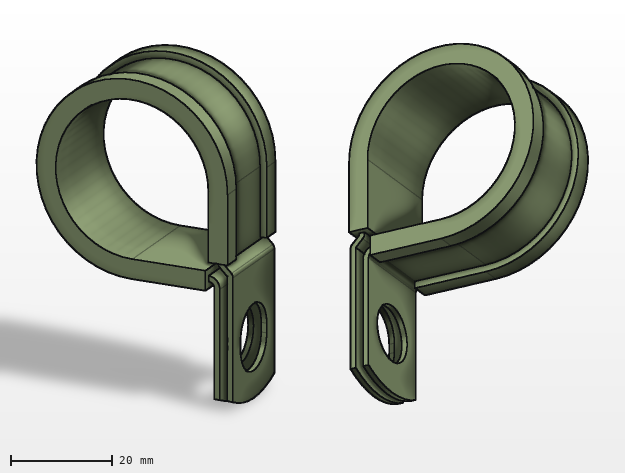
import cadquery as cq
import math

loop_radius = 20.9
cushion_thickness = 4.2
cushion_width = 22.1
flange_width = 4.0
groove_depth = 1.5
upright_length = 14.85
floor_length = 16.1

strap_thickness = 1.2
strap_width = 19.15
outer_tab_x = 20.15
bend_inner_radius = 1.2
jog_straight = 0.5

tab_bottom = -46.05
tab_end_rise = 2.2
hole_diameter = 12.0
slot_stretch = 2.0
hole_z = -33.3

bore_radius = loop_radius - cushion_thickness
strap_outer = loop_radius - groove_depth
strap_inner = strap_outer - strap_thickness
inner_tab_x = floor_length + bend_inner_radius
diagonal = math.sqrt(0.5)


def extrude_centred(outline, width):
    """Extrude a closed XZ outline symmetrically about Y = 0."""
    return outline.close().extrude(width / 2, both=True)


def loop_band(inner, outer, width):
    """Three-quarter ring with a downward leg and a leg toward +X."""
    outline = (
        cq.Workplane("XZ")
        .moveTo(outer, -upright_length)
        .lineTo(outer, 0)
        .threePointArc((-outer * diagonal, outer * diagonal), (0, -outer))
        .lineTo(floor_length, -outer)
        .lineTo(floor_length, -inner)
        .lineTo(0, -inner)
        .threePointArc((-inner * diagonal, inner * diagonal), (inner, 0))
        .lineTo(inner, -upright_length)
    )
    return extrude_centred(outline, width)


def inner_tab():
    """Strap leaving the loop floor and bending down right at the cushion end."""
    outer_radius = bend_inner_radius + strap_thickness
    centre_x = floor_length
    centre_z = -strap_outer - bend_inner_radius
    right_x = inner_tab_x + strap_thickness
    outline = (
        cq.Workplane("XZ")
        .moveTo(centre_x, -strap_inner)
        .threePointArc(
            (centre_x + outer_radius * diagonal, centre_z + outer_radius * diagonal),
            (right_x, centre_z),
        )
        .lineTo(right_x, tab_bottom)
        .lineTo(inner_tab_x, tab_bottom)
        .lineTo(inner_tab_x, centre_z)
        .threePointArc(
            (centre_x + bend_inner_radius * diagonal, centre_z + bend_inner_radius * diagonal),
            (centre_x, -strap_outer),
        )
    )
    return extrude_centred(outline, strap_width)


def outer_tab():
    """Strap leaving the upright through a 45 degree jog toward +X.

    Each bend is sharp inside and rounded outside about that sharp corner.
    """
    upper_z = -upright_length - jog_straight
    lower_z = upper_z - (outer_tab_x - strap_outer) - strap_thickness / diagonal
    reach = strap_thickness * diagonal
    mid_x = strap_thickness * math.cos(math.pi / 8)
    mid_z = strap_thickness * math.sin(math.pi / 8)
    right_x = outer_tab_x + strap_thickness
    outline = (
        cq.Workplane("XZ")
        .moveTo(strap_outer, -upright_length)
        .lineTo(strap_outer, upper_z)
        .lineTo(outer_tab_x + reach, lower_z + reach)
        .threePointArc((outer_tab_x + mid_x, lower_z + mid_z), (right_x, lower_z))
        .lineTo(right_x, tab_bottom)
        .lineTo(outer_tab_x, tab_bottom)
        .lineTo(outer_tab_x, lower_z)
        .lineTo(strap_outer - reach, upper_z - reach)
        .threePointArc((strap_outer - mid_x, upper_z - mid_z), (strap_inner, upper_z))
        .lineTo(strap_inner, -upright_length)
    )
    return extrude_centred(outline, strap_width)


def tab_envelope():
    """X-direction prism that gives each tab its rounded end."""
    half_width = strap_width / 2
    corner_z = tab_bottom + tab_end_rise
    return (
        cq.Workplane("YZ")
        .moveTo(-half_width, 0)
        .lineTo(-half_width, corner_z)
        .threePointArc((0, tab_bottom), (half_width, corner_z))
        .lineTo(half_width, 0)
        .close()
        .extrude(2 * loop_radius)
    )


def bolt_hole():
    """Round X-direction cutter for the inner tab."""
    return cq.Workplane("YZ").center(0, hole_z).circle(hole_diameter / 2).extrude(2 * loop_radius)


def bolt_slot():
    """X-direction cutter for the outer tab, lengthened along Z."""
    return (
        cq.Workplane("YZ")
        .center(0, hole_z)
        .slot2D(hole_diameter + slot_stretch, hole_diameter, 90)
        .extrude(2 * loop_radius)
    )


cushion = loop_band(bore_radius, loop_radius, cushion_width)
groove = loop_band(strap_outer, loop_radius, cushion_width - 2 * flange_width)
finished_inner_tab = inner_tab().intersect(tab_envelope()).cut(bolt_hole())
finished_outer_tab = outer_tab().intersect(tab_envelope()).cut(bolt_slot())

result = cushion.cut(groove).union(finished_inner_tab).union(finished_outer_tab)